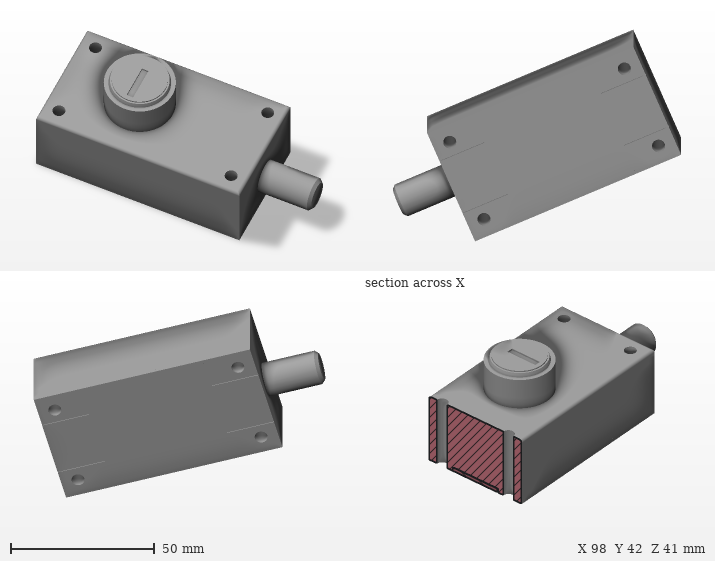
import cadquery as cq

housing_length = 78.0
housing_width = 42.0
housing_height = 27.0
top_edge_radius = 1.2
screw_hole_diameter = 4.5
screw_hole_inset_x = 6.0
screw_hole_spacing_y = 30.0

overall_length = 98.0
stub_length = overall_length - housing_length
stub_radius = 6.0
stub_axis_height = 12.0
stub_chamfer = 1.2

plate_thickness = 1.5
cross_arm_width = 44.0
long_arm_slot_width = 20.4
long_arm_side_gap = 0.2
long_arm_width = long_arm_slot_width - 2 * long_arm_side_gap

overall_height = 41.0
lock_center_x = 30.0 - housing_length / 2
barrel_radius = 12.5
barrel_height = 12.0
collar_height = 1.5
collar_base_radius = 10.9
collar_top_radius = 10.4
face_radius = 9.8
lock_height = overall_height - housing_height
key_slot_width = 2.45
key_slot_length = 12.5
key_slot_center_y = -1.9
key_slot_depth = 0.6


def make_cross(long_width):
    """Cross whose two arms reach all four sides of the housing."""
    long_arm = cq.Workplane("XY").rect(housing_length, long_width).extrude(plate_thickness)
    cross_arm = cq.Workplane("XY").rect(cross_arm_width, housing_width).extrude(plate_thickness)
    return long_arm.union(cross_arm)


def make_housing():
    """Block with a rounded top rim, screw holes, cable stub and base recess."""
    block = cq.Workplane("XY").rect(housing_length, housing_width).extrude(housing_height)
    block = block.faces(">Z").edges().fillet(top_edge_radius)
    stub = (
        cq.Workplane("YZ", origin=(housing_length / 2, 0, stub_axis_height))
        .circle(stub_radius)
        .extrude(stub_length)
        .faces(">X")
        .chamfer(stub_chamfer)
    )
    screw_holes = (
        cq.Workplane("XY")
        .rarray(housing_length - 2 * screw_hole_inset_x, screw_hole_spacing_y, 2, 2)
        .circle(screw_hole_diameter / 2)
        .extrude(housing_height)
    )
    return block.union(stub).cut(screw_holes).cut(make_cross(long_arm_slot_width))


def make_base_plate():
    """Plate that fills the base recess, with a narrow gap beside its long arm."""
    return make_cross(long_arm_width)


def make_lock():
    """Barrel with a tapered collar and a raised face holding the key slot."""
    collar_top = barrel_height + collar_height
    body = (
        cq.Workplane("XZ")
        .moveTo(0, 0)
        .lineTo(barrel_radius, 0)
        .lineTo(barrel_radius, barrel_height)
        .lineTo(collar_base_radius, barrel_height)
        .lineTo(collar_top_radius, collar_top)
        .lineTo(face_radius, collar_top)
        .lineTo(face_radius, lock_height)
        .lineTo(0, lock_height)
        .close()
        .revolve(360, (0, 0), (0, 1))
    )
    key_slot = (
        cq.Workplane("XY", origin=(0, key_slot_center_y, lock_height))
        .rect(key_slot_width, key_slot_length)
        .extrude(-key_slot_depth)
    )
    return body.cut(key_slot).translate((lock_center_x, 0, housing_height))


housing = make_housing()
base_plate = make_base_plate()
lock = make_lock()

result = cq.Compound.makeCompound([housing.val(), base_plate.val(), lock.val()])